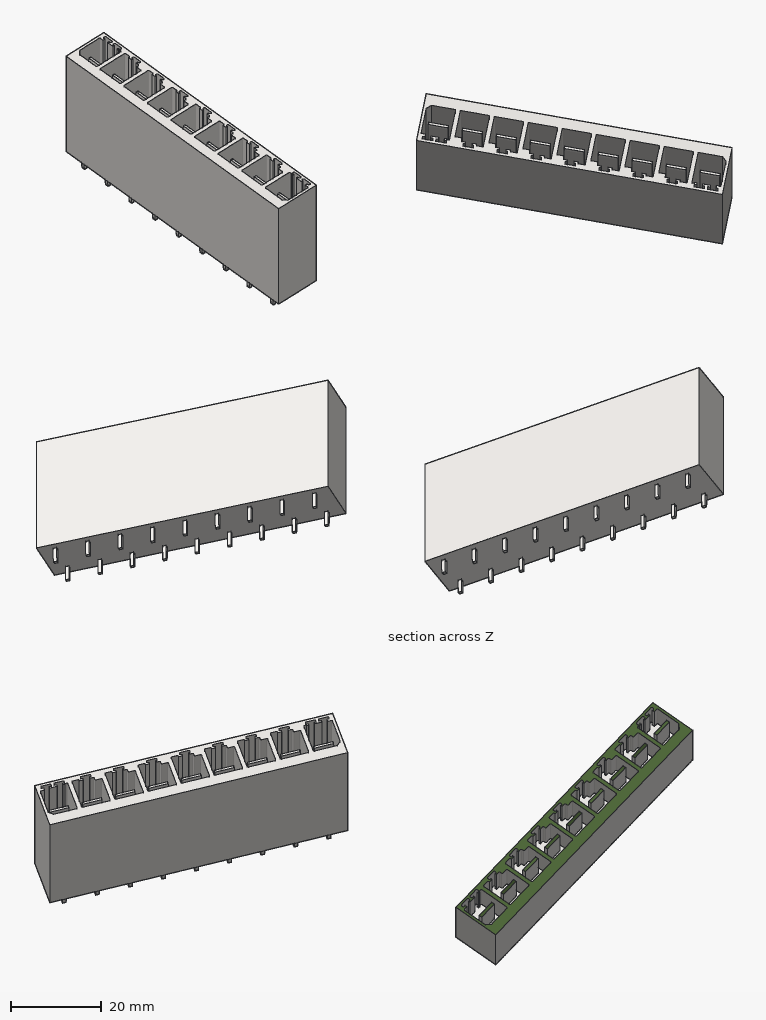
import cadquery as cq

LENGTH = 68.6
WIDTH = 11.4
TOTAL_HEIGHT = 31.8
LEG_LENGTH = 3.5
HEIGHT = TOTAL_HEIGHT - LEG_LENGTH

POLES = 9
PITCH = 7.6

CAVITY_DEPTH = 21.95
CAVITY_HALF_WIDTH = 3.3
CAVITY_FRONT = -3.15
WALL_FILLET = 0.24

SLOT_BACK = 5.1
HEAD_FRONT = 4.45
NECK_FRONT = 4.05
NECK_HALF_WIDTH = 0.75
HEAD_HALF_WIDTH = 1.2
SLOT_FILLET = 0.17
STEP_SIDE = 1.7
RIGHT_SHOULDER = 3.2

END_OUTER_WALL = 3.15
END_CHAMFER = 0.95
END_FILLET = 0.17
END_SHOULDER = 3.85
END_SLOT_OFFSET = 1.5
END_HEAD_HALF_WIDTH = 1.2
END_NECK_HALF_WIDTH = 0.6
END_TOOTH_SIDE = 2.7
END_RECESS_BACK = 4.25

BLADE_WIDTH = 4.45
BLADE_THICKNESS = 0.8
BLADE_TOP_DEPTH = 2.9
TIP_LENGTH = 0.8
TIP_INSET = 0.15
LEG_SIZE = 0.8
LEG_SPACING = PITCH
BRIDGE_BOTTOM = 2.75
BRIDGE_HEIGHT = 1.4


def prism(outline):
    """Upright prism from the cavity floor to the top of the housing."""
    floor = cq.Workplane("XY").workplane(offset=HEIGHT - CAVITY_DEPTH)
    return floor.polyline(outline).close().extrude(CAVITY_DEPTH)


def block(left, right, front, back):
    return prism([(left, front), (right, front), (right, back), (left, back)])


def make_slot(centre, neck, head):
    """Coding slot: a rounded head and its neck, which runs forward into the chamber."""
    slot_head = block(centre - head, centre + head, HEAD_FRONT, SLOT_BACK)
    slot_head = slot_head.edges("|Z").fillet(SLOT_FILLET)
    middle_of_head = (HEAD_FRONT + SLOT_BACK) / 2
    return slot_head.union(block(centre - neck, centre + neck, CAVITY_FRONT, middle_of_head))


def make_middle_cavity():
    """Cavity with one coding slot, a raised left-hand rear corner and a stepped right-hand one."""
    chamber = prism([
        (-CAVITY_HALF_WIDTH, CAVITY_FRONT),
        (-CAVITY_HALF_WIDTH, NECK_FRONT),
        (STEP_SIDE, NECK_FRONT),
        (STEP_SIDE, RIGHT_SHOULDER),
        (CAVITY_HALF_WIDTH, RIGHT_SHOULDER),
        (CAVITY_HALF_WIDTH, CAVITY_FRONT),
    ])
    chamber = chamber.edges("|Z").fillet(WALL_FILLET)
    raised_corner = block(-CAVITY_HALF_WIDTH, -STEP_SIDE, 0, HEAD_FRONT)
    chamber = chamber.union(raised_corner.edges("|Z").fillet(SLOT_FILLET))
    return chamber.union(make_slot(0, NECK_HALF_WIDTH, HEAD_HALF_WIDTH))


def make_end_cavity():
    """Left-hand end cavity with two coding slots and a chamfered outer front corner."""
    outer_neck_side = -END_SLOT_OFFSET - END_NECK_HALF_WIDTH
    chamber = prism([
        (END_CHAMFER - END_OUTER_WALL, CAVITY_FRONT),
        (-END_OUTER_WALL, CAVITY_FRONT + END_CHAMFER),
        (-END_OUTER_WALL, END_SHOULDER),
        (outer_neck_side, END_SHOULDER),
        (outer_neck_side, NECK_FRONT),
        (END_TOOTH_SIDE, NECK_FRONT),
        (END_TOOTH_SIDE, END_RECESS_BACK),
        (CAVITY_HALF_WIDTH, END_RECESS_BACK),
        (CAVITY_HALF_WIDTH, CAVITY_FRONT),
    ])
    chamber = chamber.edges("|Z").edges(">X").fillet(END_FILLET)
    chamber = chamber.edges("|Z").edges("<X").edges(">Y").fillet(END_FILLET)
    for centre in (-END_SLOT_OFFSET, END_SLOT_OFFSET):
        chamber = chamber.union(make_slot(centre, END_NECK_HALF_WIDTH, END_HEAD_HALF_WIDTH))
    return chamber


def make_leg(side):
    """Square leg whose outer face slopes inwards at the tip; side is -1 (front) or 1 (rear)."""
    inner = side * (LEG_SPACING - LEG_SIZE) / 2
    outer = side * (LEG_SPACING + LEG_SIZE) / 2
    profile = [
        (inner, BRIDGE_BOTTOM),
        (inner, -LEG_LENGTH),
        (outer - side * TIP_INSET, -LEG_LENGTH),
        (outer, TIP_LENGTH - LEG_LENGTH),
        (outer, BRIDGE_BOTTOM),
    ]
    return cq.Workplane("YZ").polyline(profile).close().extrude(LEG_SIZE / 2, both=True)


def make_blade():
    """Upright flat blade with its tip bevelled on both flat sides."""
    top = HEIGHT - BLADE_TOP_DEPTH
    half = BLADE_THICKNESS / 2
    profile = [
        (-half, BRIDGE_BOTTOM),
        (-half, top - TIP_LENGTH),
        (TIP_INSET - half, top),
        (half - TIP_INSET, top),
        (half, top - TIP_LENGTH),
        (half, BRIDGE_BOTTOM),
    ]
    return cq.Workplane("YZ").polyline(profile).close().extrude(BLADE_WIDTH / 2, both=True)


def make_contact(pole_x):
    bridge = cq.Workplane("XY").workplane(offset=BRIDGE_BOTTOM).rect(LEG_SIZE, LEG_SPACING + LEG_SIZE)
    contact = bridge.extrude(BRIDGE_HEIGHT).union(make_blade()).union(make_leg(-1)).union(make_leg(1))
    return contact.translate((pole_x, 0, 0))


def make_housing(pole_positions, contacts):
    """Block with a cavity at each pole and matching passages for the contacts."""
    housing = cq.Workplane("XY").box(LENGTH, WIDTH, HEIGHT, centered=(True, True, False))
    middle_cavity = make_middle_cavity()
    for pole_x in pole_positions[1:-1]:
        housing = housing.cut(middle_cavity.translate((pole_x, 0, 0)))
    left_end = make_end_cavity().translate((pole_positions[0], 0, 0))
    housing = housing.cut(left_end).cut(left_end.mirror("YZ"))
    for contact in contacts:
        housing = housing.cut(contact)
    return housing


pole_positions = [(i - (POLES - 1) / 2) * PITCH for i in range(POLES)]
contacts = [make_contact(pole_x) for pole_x in pole_positions]
housing = make_housing(pole_positions, contacts)

result = cq.Compound.makeCompound([housing.val(), *[contact.val() for contact in contacts]])